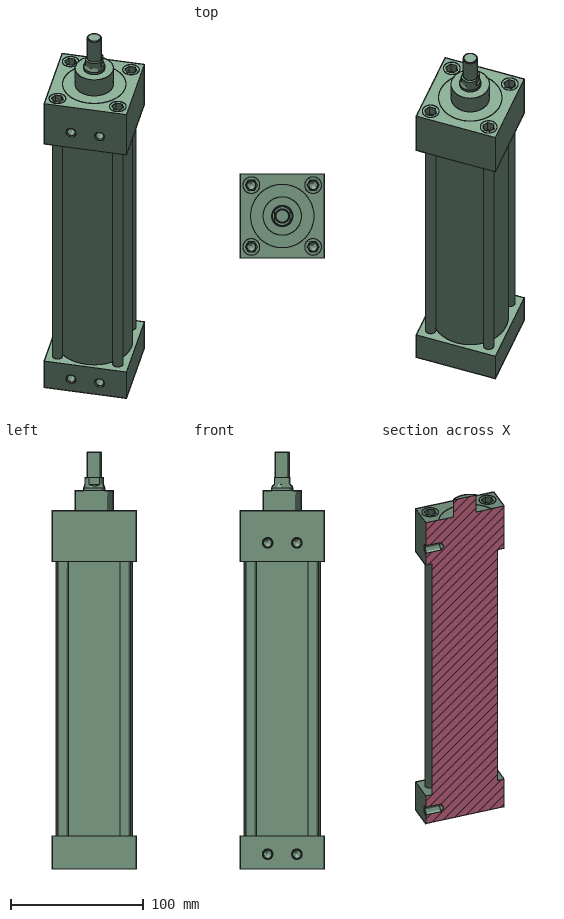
import cadquery as cq
import math

total_length = 314.3
block_side = 63.5
rear_block_height = 25.0
front_block_bottom = 231.5
front_block_top = 270.0

barrel_diameter = 57.8
tie_rod_diameter = 8.0
tie_rod_offset = 23.3

collar_diameter = 29.0
collar_top = 285.0
gland_disc_diameter = 47.8
screw_head_diameter = 12.5
face_recess = 0.15

socket_across_flats = 8.0
socket_point_diameter = 6.5
socket_depth = 8.0

port_diameter = 6.3
port_mouth_diameter = 8.0
port_depth = 12.5
drill_point_angle = 118.0
port_offset = 11.0
front_port_height = 245.8
rear_port_height = 11.3

rod_diameter = 16.0
rod_bottom = front_block_bottom
shoulder_bottom = 287.0
shoulder_top = 289.8
neck_diameter = 14.0
neck_top = 294.8
tip_diameter = 10.7
tip_chamfer = 0.5
flat_spacing = 12.0
flat_runout = 1.5

corners = [
    (x, y)
    for x in (-tie_rod_offset, tie_rod_offset)
    for y in (-tie_rod_offset, tie_rod_offset)
]


def cylinder(diameter, bottom, top, center=(0, 0)):
    """Upright cylinder between two heights."""
    return cq.Workplane("XY", origin=(*center, bottom)).circle(diameter / 2).extrude(top - bottom)


def block(bottom, top):
    """Square end block between two heights."""
    return cq.Workplane("XY", origin=(0, 0, bottom)).rect(block_side, block_side).extrude(top - bottom)


def tapped_port():
    """Cutter for a tapped port that enters the plane Z = 0 and runs toward -Z."""
    radius = port_diameter / 2
    mouth_radius = port_mouth_diameter / 2
    countersink_depth = mouth_radius - radius
    point_length = radius / math.tan(math.radians(drill_point_angle / 2))
    profile = [
        (0, 0),
        (mouth_radius, 0),
        (radius, -countersink_depth),
        (radius, -port_depth),
        (0, -port_depth - point_length),
    ]
    return cq.Workplane("XZ").polyline(profile).close().revolve(360, (0, 0), (0, 1))


def hex_socket():
    """Cutter for a hex socket below the plane Z = 0, corners toward -X and +X."""
    across_corners = socket_across_flats / math.cos(math.pi / 6)
    hexagon = cq.Workplane("XY").polygon(6, across_corners).extrude(-socket_depth)
    radius = socket_point_diameter / 2
    point_length = radius / math.tan(math.radians(drill_point_angle / 2))
    profile = [(0, -socket_depth), (radius, -socket_depth), (0, -socket_depth - point_length)]
    point = cq.Workplane("XZ").polyline(profile).close().revolve(360, (0, 0), (0, 1))
    return hexagon.union(point)


def make_housing():
    """End blocks, barrel, tie rods and gland collar, bored for the piston rod."""
    body = block(0, rear_block_height)
    body = body.union(block(front_block_bottom, front_block_top))
    body = body.union(cylinder(barrel_diameter, rear_block_height, front_block_bottom))
    for corner in corners:
        body = body.union(cylinder(tie_rod_diameter, rear_block_height, front_block_bottom, corner))

    recess_floor = front_block_top - face_recess
    body = body.cut(cylinder(gland_disc_diameter, recess_floor, front_block_top))
    body = body.union(cylinder(collar_diameter, recess_floor, collar_top))
    for corner in corners:
        body = body.cut(cylinder(screw_head_diameter, recess_floor, front_block_top, corner))
        body = body.cut(hex_socket().translate((*corner, recess_floor)))

    port = tapped_port().rotate((0, 0, 0), (1, 0, 0), 90)
    for x in (-port_offset, port_offset):
        for z in (rear_port_height, front_port_height):
            body = body.cut(port.translate((x, -block_side / 2, z)))

    return body.cut(cylinder(rod_diameter, rod_bottom, collar_top))


def wrench_flat():
    """Cutter for the +X wrench flat, with a sloped run-out at its lower end."""
    flat_x = flat_spacing / 2
    outer_x = rod_diameter / 2
    profile = [
        (flat_x, neck_top),
        (flat_x, shoulder_top),
        (outer_x, shoulder_top - flat_runout),
        (outer_x, neck_top),
    ]
    return cq.Workplane("XZ").polyline(profile).close().extrude(rod_diameter / 2, both=True)


def make_piston_rod():
    """Stepped rod with a conical shoulder, a flatted neck and a slim tip."""
    profile = [
        (0, rod_bottom),
        (rod_diameter / 2, rod_bottom),
        (rod_diameter / 2, shoulder_bottom),
        (neck_diameter / 2, shoulder_top),
        (neck_diameter / 2, neck_top),
        (tip_diameter / 2, neck_top),
        (tip_diameter / 2, total_length - tip_chamfer),
        (tip_diameter / 2 - tip_chamfer, total_length),
        (0, total_length),
    ]
    rod = cq.Workplane("XZ").polyline(profile).close().revolve(360, (0, 0), (0, 1))
    for angle in (0, 180):
        rod = rod.cut(wrench_flat().rotate((0, 0, 0), (0, 0, 1), angle))
    return rod


housing = make_housing()
piston_rod = make_piston_rod()
result = cq.Compound.makeCompound([housing.val(), piston_rod.val()])